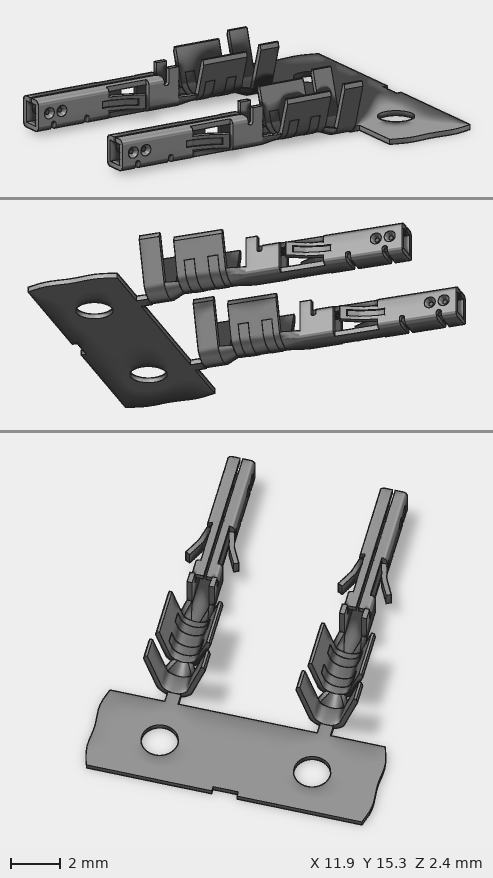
import cadquery as cq
import math

sheet = 0.21
margin = 0.15

strip_length = 11.87
strip_front = 11.48
strip_back = 15.3
strip_end_taper = 0.21
strip_end_dip = 0.06
bulge_spacing = 1.8
pilot_hole_diameter = 1.5
index_notch_width = 1.04
index_notch_depth = 0.21
pitch = 6.33

box_half_width = 0.57
box_bottom = 0.21
box_top = 1.53
box_inner_half_width = box_half_width - sheet
box_floor_top = box_bottom + sheet
box_back = 6.0
corner_radius = 0.21
slit_width = 0.1
window_front = 3.37
window_back = 5.26

tab_front = 6.21
tab_back = 6.69
tab_top = 1.9
tab_gap_bottom = 1.2

floor_slot_width = 0.21
floor_slot_top = 0.57
floor_slot_centres = (0.73, 2.31)

dimple_centres = (0.52, 1.12)
dimple_height = 0.95
dimple_diameter = 0.47
dimple_tip_diameter = 0.18
dimple_reach = 0.12
dimple_recess = 0.17

tine_bottom = 0.58
tine_top = 1.16
tine_first_angle = 14.0
tine_second_angle = 27.0
tine_bend = 4.05
tine_tip = 4.77
groove_bottom = 0.73
groove_top = 1.01
groove_front = 3.06
groove_back = 4.53
groove_depth = 0.08

barrel_radius = 0.83
barrel_half_width = 0.72
arm_angle = 17.5
insulation_front = 10.15
insulation_back = 11.0
insulation_bottom = 0.0
insulation_top = 2.4
wire_front = 7.51
wire_back = 9.58
wire_bottom = 0.21
wire_top = 2.17
arm_tip_width = 0.1
arm_bevel_height = 0.2

serration_fronts = (7.77, 8.78)
serration_width = 0.43
serration_top = 1.16
serration_depth = 0.02

neck_half_width = 0.43
neck_rim = 0.49
insulation_rim = 0.41
transition_rim = 0.61

bridge_width = 0.55


def block(x_min, x_max, y_min, y_max, z_min, z_max):
    size = (x_max - x_min, y_max - y_min, z_max - z_min)
    return cq.Workplane("XY").box(*size, centered=False).translate((x_min, y_min, z_min))


def extrude_along_y(section, y_min, y_max):
    """Extrude a section, drawn on XZ at Y = 0, from y_min to y_max."""
    return section.extrude(-(y_max - y_min)).translate((0, y_min, 0))


def both_sides(shape):
    return shape.union(shape.mirror("YZ"))


def carrier_strip():
    half = strip_length / 2
    corner = half - strip_end_taper
    middle = (strip_front + strip_back) / 2
    low = middle - bulge_spacing / 2
    high = middle + bulge_spacing / 2
    right_end = [
        (corner, strip_front),
        (half, low),
        (half - strip_end_dip, middle),
        (half, high),
        (corner, strip_back),
    ]
    left_end = [(-x, y) for x, y in reversed(right_end)]
    up = [(1, 3), (0, 1), (0, 1), (0, 1), (-1, 3)]
    down = [(-1, -3), (0, -1), (0, -1), (0, -1), (1, -3)]
    strip = (
        cq.Workplane("XY")
        .moveTo(*right_end[0])
        .spline(right_end[1:], tangents=up, includeCurrent=True)
        .lineTo(*left_end[0])
        .spline(left_end[1:], tangents=down, includeCurrent=True)
        .close()
        .extrude(sheet)
    )
    notch_half = index_notch_width / 2
    notch_front = strip_back - index_notch_depth
    notch = block(-notch_half, notch_half, notch_front, strip_back + margin, -margin, sheet + margin)
    holes = (
        cq.Workplane("XY")
        .pushPoints([(-pitch / 2, middle), (pitch / 2, middle)])
        .circle(pilot_hole_diameter / 2)
        .extrude(sheet)
    )
    return strip.cut(notch).cut(holes)


def contact_box():
    half = box_half_width
    inner = box_inner_half_width
    body = block(-half, half, 0, box_back, box_bottom, box_top).edges("|Y").fillet(corner_radius)
    rear = block(-half, half, box_back, tab_back, box_bottom, tab_top)
    rear = rear.edges("|Y and <Z").fillet(corner_radius)
    bore = block(-inner, inner, 0, box_back, box_floor_top, box_top - sheet)
    channel = block(-inner, inner, box_back, tab_back, box_floor_top, tab_top)
    slit = block(-slit_width / 2, slit_width / 2, 0, box_back, box_top - sheet, box_top)
    box = body.union(rear).cut(bore).cut(channel).cut(slit)

    gap_radius = (tab_front - box_back) / 2
    gap_centre = box_back + gap_radius
    gap_z = tab_gap_bottom + gap_radius
    gap = block(-half, half, box_back, tab_front, gap_z, tab_top)
    gap = gap.union(cross_pin(gap_centre, gap_z, gap_radius))
    box = box.cut(gap)

    window = block(inner, half, window_front, window_back, box_bottom, box_top)
    box = box.cut(both_sides(window))

    for centre in floor_slot_centres:
        radius = floor_slot_width / 2
        arch_z = floor_slot_top - radius
        slot = block(-half, half, centre - radius, centre + radius, box_bottom, arch_z)
        box = box.cut(slot.union(cross_pin(centre, arch_z, radius)))

    for centre in dimple_centres:
        bump = dimple_cone(centre, inner, dimple_reach)
        recess = dimple_cone(centre, half, dimple_recess)
        box = box.union(both_sides(bump)).cut(both_sides(recess))
    return box


def cross_pin(y, z, radius):
    """Cylinder across the full width of the box."""
    pin = cq.Workplane("YZ").center(y, z).circle(radius).extrude(2 * box_half_width)
    return pin.translate((-box_half_width, 0, 0))


def dimple_cone(y, x_base, depth):
    """Blunt cone from a side surface at x_base towards the box centre."""
    return cq.Workplane(
        cq.Solid.makeCone(
            dimple_diameter / 2,
            dimple_tip_diameter / 2,
            depth,
            pnt=cq.Vector(x_base, y, dimple_height),
            dir=cq.Vector(-1, 0, 0),
        )
    )


def tine_strip(depth):
    """Plan outline of a tine, from its outer face to the given depth below it."""
    first = math.radians(tine_first_angle)
    second = math.radians(tine_second_angle)
    middle = (first + second) / 2
    bend_x = box_half_width + (tine_bend - window_front) * math.tan(first)
    tip_x = bend_x + (tine_tip - tine_bend) * math.tan(second)
    bend_depth = depth / math.cos(second - middle)
    return (
        cq.Workplane("XY")
        .moveTo(box_half_width, groove_front)
        .lineTo(box_half_width, window_front)
        .lineTo(bend_x, tine_bend)
        .lineTo(tip_x, tine_tip)
        .lineTo(tip_x - depth * math.cos(second), tine_tip + depth * math.sin(second))
        .lineTo(bend_x - bend_depth * math.cos(middle), tine_bend + bend_depth * math.sin(middle))
        .lineTo(box_half_width - depth, window_front + depth * math.tan(first / 2))
        .lineTo(box_half_width - depth, groove_front)
        .close()
    )


def tine():
    return tine_strip(sheet).extrude(tine_top - tine_bottom).translate((0, 0, tine_bottom))


def tine_groove():
    groove = tine_strip(groove_depth).extrude(groove_top - groove_bottom)
    reach = block(0, 2 * box_half_width, groove_front, groove_back, 0, groove_top)
    return groove.translate((0, 0, groove_bottom)).intersect(reach)


def arm_x(bottom, inset, z):
    """X of the arm face at height z, with the outer face moved inwards by inset."""
    rise = math.sqrt(barrel_radius**2 - barrel_half_width**2)
    corner_z = bottom + barrel_radius - rise
    tilt = math.radians(arm_angle)
    return barrel_half_width - inset / math.cos(tilt) + (z - corner_z) * math.tan(tilt)


def barrel_core(bottom, top, inset, y_min, y_max):
    """Solid filling the barrel up to its outer surface moved inwards by inset."""
    radius = barrel_radius - inset
    centre_z = bottom + barrel_radius
    tilt = math.radians(arm_angle)
    face_distance = arm_x(bottom, inset, centre_z) * math.cos(tilt)
    rim_angle = tilt + math.acos(face_distance / radius)
    rim_x = radius * math.cos(rim_angle)
    rim_z = centre_z - radius * math.sin(rim_angle)
    top_x = arm_x(bottom, inset, top)
    section = (
        cq.Workplane("XZ")
        .moveTo(-rim_x, rim_z)
        .threePointArc((0, bottom + inset), (rim_x, rim_z))
        .lineTo(top_x, top)
        .lineTo(-top_x, top)
        .close()
    )
    return extrude_along_y(section, y_min, y_max)


def barrel(bottom, top, y_min, y_max):
    """Barrel wall with the outer corner of each arm tip bevelled."""
    outer = barrel_core(bottom, top, 0, y_min, y_max)
    inner = barrel_core(bottom, top, sheet, y_min, y_max)
    bevel_z = top - arm_bevel_height
    bevel_section = (
        cq.Workplane("XZ")
        .moveTo(arm_x(bottom, sheet, top) + arm_tip_width, top)
        .lineTo(arm_x(bottom, 0, top), top)
        .lineTo(arm_x(bottom, 0, bevel_z), bevel_z)
        .close()
    )
    bevel = extrude_along_y(bevel_section, y_min, y_max)
    return outer.cut(inner).cut(both_sides(bevel))


def serrate(wire_barrel):
    """Press bands outwards: grooves inside the barrel and low ridges outside."""
    for y_min in serration_fronts:
        y_max = y_min + serration_width
        ridge = barrel_core(wire_bottom, serration_top, -serration_depth, y_min, y_max)
        core = barrel_core(wire_bottom, serration_top, sheet, y_min, y_max)
        groove = barrel_core(wire_bottom, serration_top, sheet - serration_depth, y_min, y_max)
        wire_barrel = wire_barrel.union(ridge.cut(core)).cut(groove)
    return wire_barrel


def arc_section(y, half_width, bottom, rim, pieces=1):
    """Round-bottomed section, flat across the rim, its arc split into equal pieces."""
    rise = rim - bottom
    radius = (half_width**2 + rise**2) / (2 * rise)
    half_sweep = math.acos(1 - rise / radius)

    def point(fraction):
        angle = half_sweep * (2 * fraction - 1)
        return (radius * math.sin(angle), bottom + radius * (1 - math.cos(angle)))

    section = cq.Workplane("XZ", origin=(0, y, 0)).moveTo(*point(0))
    for piece in range(pieces):
        section = section.threePointArc(point((piece + 0.5) / pieces), point((piece + 1) / pieces))
    return section.close().wires().val()


def box_end_section(half_width, bottom, corner):
    """Lower part of the box section, where the wire transition joins it."""
    section = cq.Workplane("XZ", origin=(0, tab_back, 0)).moveTo(-half_width, transition_rim)
    if corner == 0:
        section = section.lineTo(-half_width, bottom).lineTo(half_width, bottom)
    else:
        flat = half_width - corner
        section = (
            section.lineTo(-half_width, bottom + corner)
            .radiusArc((-flat, bottom), -corner)
            .lineTo(flat, bottom)
            .radiusArc((half_width, bottom + corner), -corner)
        )
    return section.lineTo(half_width, transition_rim).close().wires().val()


def trough(outer_sections, inner_sections):
    outer = cq.Solid.makeLoft(outer_sections, True)
    inner = cq.Solid.makeLoft(inner_sections, True)
    return cq.Workplane(outer).cut(cq.Workplane(inner))


def insulation_neck():
    outer, inner = [
        [
            arc_section(
                insulation_front, barrel_half_width - inset, insulation_bottom + inset, insulation_rim
            ),
            arc_section(wire_back, neck_half_width - inset, wire_bottom + inset, neck_rim),
        ]
        for inset in (0, sheet)
    ]
    return trough(outer, inner)


def wire_transition():
    outer, inner = [
        [
            arc_section(
                wire_front, barrel_half_width - inset, wire_bottom + inset, transition_rim, pieces
            ),
            box_end_section(box_half_width - inset, box_bottom + inset, corner_radius - inset),
        ]
        for inset, pieces in ((0, 5), (sheet, 3))
    ]
    return trough(outer, inner)


def terminal():
    insulation_barrel = barrel(insulation_bottom, insulation_top, insulation_front, insulation_back)
    wire_barrel = serrate(barrel(wire_bottom, wire_top, wire_front, wire_back))
    bridge = block(-bridge_width / 2, bridge_width / 2, insulation_back, strip_front, 0, sheet)
    body = contact_box().union(both_sides(tine())).cut(both_sides(tine_groove()))
    for piece in (wire_transition(), wire_barrel, insulation_neck(), insulation_barrel, bridge):
        body = body.union(piece)
    return body


result = carrier_strip()
for x in (-pitch / 2, pitch / 2):
    result = result.union(terminal().translate((x, 0, 0)))